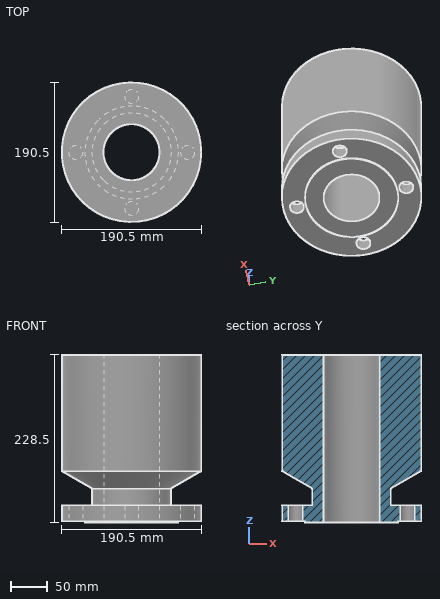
import cadquery as cq

total_height = 228.5
outer_diameter = 190.5
bore_diameter = 76.1
neck_diameter = 108.0
raised_face_diameter = 127.0
bolt_hole_diameter = 19.0
bolt_circle_diameter = 152.5
bolt_hole_count = 4

raised_face_height = 1.5
flange_top = 23.8
neck_top = 46.5
cone_top = 70.2

outer_radius = outer_diameter / 2
neck_radius = neck_diameter / 2
raised_face_radius = raised_face_diameter / 2
bore_radius = bore_diameter / 2


def turned_body():
    """Raised face, flange, neck, cone and cylinder with the through bore, as one revolve."""
    profile = (
        cq.Workplane("XZ")
        .moveTo(bore_radius, 0)
        .lineTo(raised_face_radius, 0)
        .lineTo(raised_face_radius, raised_face_height)
        .lineTo(outer_radius, raised_face_height)
        .lineTo(outer_radius, flange_top)
        .lineTo(neck_radius, flange_top)
        .lineTo(neck_radius, neck_top)
        .lineTo(outer_radius, cone_top)
        .lineTo(outer_radius, total_height)
        .lineTo(bore_radius, total_height)
        .close()
    )
    return profile.revolve(360, (0, 0, 0), (0, 1, 0))


def bolt_holes():
    """Holes through the flange, with the first one on the X axis."""
    return (
        cq.Workplane("XY")
        .polarArray(bolt_circle_diameter / 2, 0, 360, bolt_hole_count)
        .circle(bolt_hole_diameter / 2)
        .extrude(flange_top)
    )


result = turned_body().cut(bolt_holes())